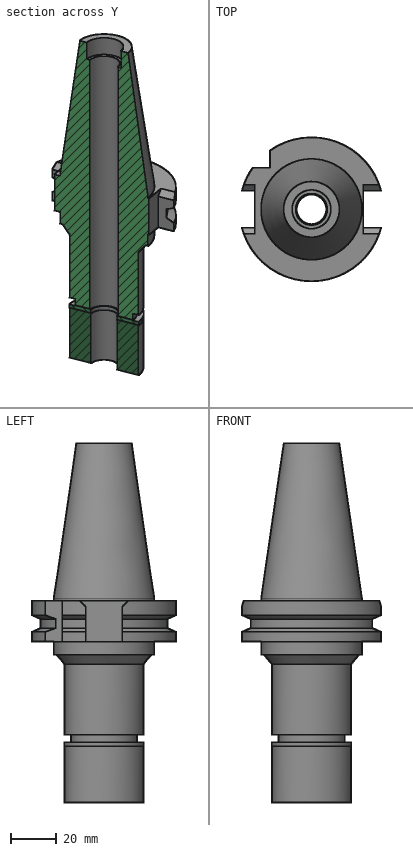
import cadquery as cq


overall_height = 158.4

gauge_diameter = 44.5
gauge_radius = gauge_diameter / 2
taper_rate = 7 / 48
taper_length = 68.5
taper_tip_radius = gauge_radius - taper_rate * taper_length

flange_diameter = 63.5
flange_radius = flange_diameter / 2
flange_top_z = -1.0
flange_bottom_z = -19.0
flange_height = flange_top_z - flange_bottom_z
groove_floor_radius = 28.0
groove_floor_width = 4.0
groove_flank_height = 1.7
groove_center_z = -11.1
groove_floor_top_z = groove_center_z + groove_floor_width / 2
groove_floor_bottom_z = groove_center_z - groove_floor_width / 2

slot_width = 16.2
slot_chamfer = 2.7
left_slot_floor = 25.0
right_slot_floor = 22.8
notch_offset = 18.4

collar_bottom_z = -24.9
cone_top_radius = 20.9
barrel_diameter = 35.0
barrel_radius = barrel_diameter / 2
barrel_top_z = -29.0
barrel_bottom_z = -60.2
neck_diameter = 29.3
neck_radius = neck_diameter / 2
neck_bottom_z = -63.4

ring_radius = 17.6
ring_bottom_z = -65.3
nut_radius = barrel_radius
nut_bottom_z = taper_length - overall_height

pilot_bore_radius = 8.5
pilot_bore_depth = 8.2
holder_bore_radius = 7.0
nose_bore_radius = 6.5


def tube(outer_radius, inner_radius, bottom_z, top_z):
    """Plain sleeve around the Z axis."""
    return (
        cq.Workplane("XY", origin=(0, 0, bottom_z))
        .circle(outer_radius)
        .circle(inner_radius)
        .extrude(top_z - bottom_z)
    )


def turned_holder():
    """Holder before milling: half outline in (radius, Z), turned around Z."""
    pilot_floor_z = taper_length - pilot_bore_depth
    outline = [
        (pilot_bore_radius, taper_length),
        (taper_tip_radius, taper_length),
        (gauge_radius, 0),
        (gauge_radius, flange_top_z),
        (flange_radius, flange_top_z),
        (flange_radius, groove_floor_top_z + groove_flank_height),
        (groove_floor_radius, groove_floor_top_z),
        (groove_floor_radius, groove_floor_bottom_z),
        (flange_radius, groove_floor_bottom_z - groove_flank_height),
        (flange_radius, flange_bottom_z),
        (gauge_radius, flange_bottom_z),
        (gauge_radius, collar_bottom_z),
        (cone_top_radius, collar_bottom_z),
        (barrel_radius, barrel_top_z),
        (barrel_radius, barrel_bottom_z),
        (neck_radius, barrel_bottom_z),
        (neck_radius, neck_bottom_z),
        (holder_bore_radius, neck_bottom_z),
        (holder_bore_radius, pilot_floor_z),
        (pilot_bore_radius, pilot_floor_z),
    ]
    return cq.Workplane("XZ").polyline(outline).close().revolve(360, (0, 0), (0, 1))


def drive_slot(side, floor_distance):
    """Cutter for one drive slot, with its top edges chamfered; side is -1 or +1."""
    half_width = slot_width / 2
    outline = [
        (-half_width, flange_bottom_z),
        (half_width, flange_bottom_z),
        (half_width, flange_top_z - slot_chamfer),
        (half_width + slot_chamfer, flange_top_z),
        (-half_width - slot_chamfer, flange_top_z),
        (-half_width, flange_top_z - slot_chamfer),
    ]
    return (
        cq.Workplane("YZ", origin=(side * floor_distance, 0, 0))
        .polyline(outline)
        .close()
        .extrude(side * (flange_radius - floor_distance))
    )


def corner_notch():
    """Cutter for the square notch through the flange rim."""
    notch_size = flange_radius - notch_offset
    return cq.Workplane("XY").box(notch_size, notch_size, flange_height, centered=False).translate(
        (-flange_radius, notch_offset, flange_bottom_z)
    )


def make_holder():
    return (
        turned_holder()
        .cut(drive_slot(-1, left_slot_floor))
        .cut(drive_slot(1, right_slot_floor))
        .cut(corner_notch())
    )


holder = make_holder()
ring = tube(ring_radius, nose_bore_radius, ring_bottom_z, neck_bottom_z)
nut = tube(nut_radius, nose_bore_radius, nut_bottom_z, ring_bottom_z)

result = cq.Compound.makeCompound([holder.val(), ring.val(), nut.val()])